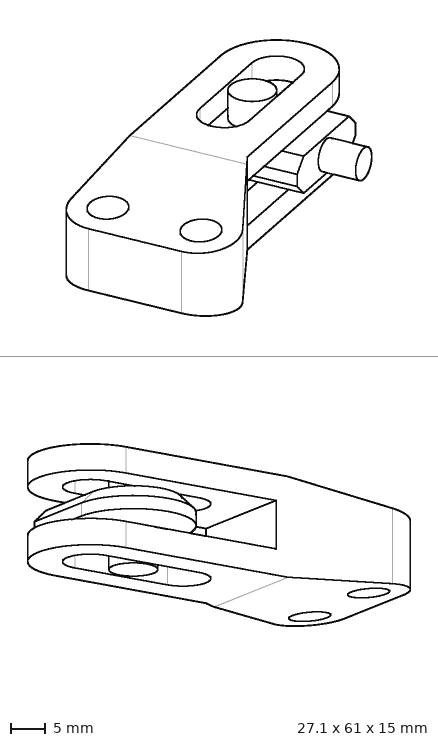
import cadquery as cq
import math

length = 61.0
height = 15.0
arm_width = 18.0
arm_radius = arm_width / 2
mount_radius = 6.0
mount_hole_diameter = 6.0
mount_hole_spacing = 15.05
mount_width = mount_hole_spacing + 2 * mount_radius
taper_length = 24.05
mount_end_height = 10.0
fork_root_y = 26.0
fork_gap = 7.2
slot_width = 8.0
slot_length = 24.0

slider_y = 44.6
slider_width = arm_width
slider_end_x = 21.0
slider_thickness = 6.0
slider_chamfer = 2.0
pin_diameter = 7.0
pin_length = height
rod_diameter = 5.0

arm_center = (arm_radius, length - arm_radius)
hole_centers = [
    (mount_radius, mount_radius),
    (mount_radius + mount_hole_spacing, mount_radius),
]


def slanted_edge_tangent():
    """Angle on the outer mounting corner where the edge from the arm touches it."""
    center_x, center_y = hole_centers[1]
    dx = arm_width - center_x
    dy = fork_root_y - center_y
    return math.atan2(dy, dx) - math.acos(mount_radius / math.hypot(dx, dy))


def outer_corner_point(angle):
    center_x, center_y = hole_centers[1]
    return (center_x + mount_radius * math.cos(angle), center_y + mount_radius * math.sin(angle))


def bracket_plate():
    tangent_angle = slanted_edge_tangent()
    corner_start_angle = -math.pi / 2
    corner_middle_angle = (corner_start_angle + tangent_angle) / 2
    diagonal = mount_radius * (1 - math.sqrt(0.5))
    return (
        cq.Workplane("XY")
        .workplane(offset=-height / 2)
        .moveTo(mount_radius, 0)
        .lineTo(hole_centers[1][0], 0)
        .threePointArc(outer_corner_point(corner_middle_angle), outer_corner_point(tangent_angle))
        .lineTo(arm_width, fork_root_y)
        .lineTo(arm_width, arm_center[1])
        .threePointArc((arm_radius, length), (0, arm_center[1]))
        .lineTo(0, mount_radius)
        .threePointArc((diagonal, diagonal), (mount_radius, 0))
        .close()
        .extrude(height)
    )


def taper_envelope():
    """Side profile whose top and bottom slope towards the mounting end."""
    half_height = height / 2
    half_end_height = mount_end_height / 2
    return (
        cq.Workplane("YZ")
        .polyline([
            (0, -half_end_height),
            (taper_length, -half_height),
            (length, -half_height),
            (length, half_height),
            (taper_length, half_height),
            (0, half_end_height),
        ])
        .close()
        .extrude(mount_width)
    )


def make_bracket():
    fork_opening = cq.Workplane("XY").box(
        arm_width, length - fork_root_y, fork_gap, centered=(False, False, True)
    ).translate((0, fork_root_y, 0))
    slot_center_y = arm_center[1] + slot_width / 2 - slot_length / 2
    slots = (
        cq.Workplane("XY")
        .center(arm_radius, slot_center_y)
        .slot2D(slot_length, slot_width, 90)
        .extrude(height / 2, both=True)
    )
    mount_holes = (
        cq.Workplane("XY")
        .pushPoints(hole_centers)
        .circle(mount_hole_diameter / 2)
        .extrude(height / 2, both=True)
    )
    return bracket_plate().intersect(taper_envelope()).cut(fork_opening).cut(slots).cut(mount_holes)


def make_slider():
    slider_radius = slider_width / 2
    block = (
        cq.Workplane("XY")
        .moveTo(slider_end_x, slider_y - slider_radius)
        .lineTo(slider_end_x, slider_y + slider_radius)
        .lineTo(arm_radius, slider_y + slider_radius)
        .threePointArc((arm_radius - slider_radius, slider_y), (arm_radius, slider_y - slider_radius))
        .close()
        .extrude(slider_thickness / 2, both=True)
    )
    block = block.faces("|Z").edges("not(>X)").chamfer(slider_chamfer)
    pin = (
        cq.Workplane("XY")
        .center(arm_radius, slider_y)
        .circle(pin_diameter / 2)
        .extrude(pin_length / 2, both=True)
    )
    rod = (
        cq.Workplane("YZ")
        .workplane(offset=slider_end_x)
        .center(slider_y, 0)
        .circle(rod_diameter / 2)
        .extrude(mount_width - slider_end_x)
    )
    return block.union(pin).union(rod)


bracket = make_bracket()
slider = make_slider()
result = cq.Compound.makeCompound([bracket.val(), slider.val()])